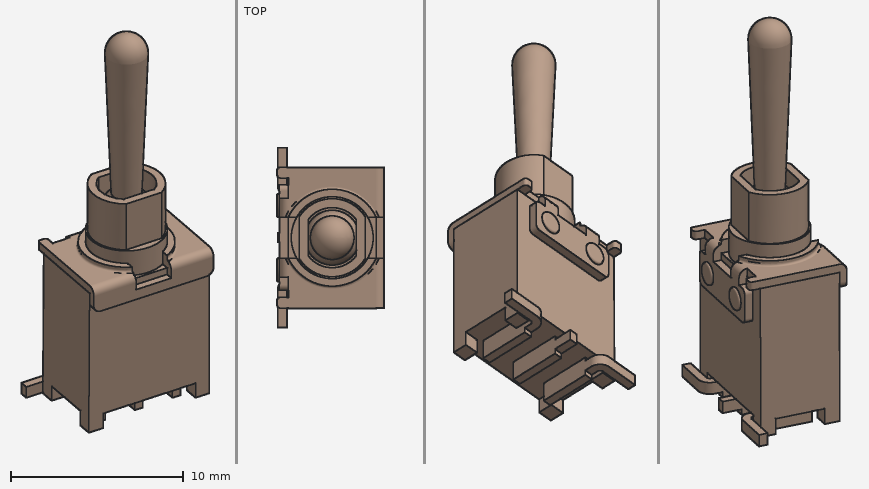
import cadquery as cq
import math

TOTAL_HEIGHT = 24.83

HOUSING_BOTTOM_Z = 1.35
FOOT_BOTTOM_Z = 0.35
HOUSING_TOP_Z = 9.85
BUSHING_TOP_Z = 14.67
COLLAR_TOP_Z = 11.55

HOUSING_HALF_WIDTH = 2.53
HOUSING_HALF_DEPTH = 4.07
HOUSING_DRAFT = 0.05
FRONT_FOOT_Y = -HOUSING_HALF_DEPTH - HOUSING_DRAFT
FOOT_LENGTH_X = 0.97
FOOT_INNER_Y = 3.13

TERMINAL_THICKNESS = 0.55
OUTER_TERMINAL_Y = 2.55
BLADE_LEFT_X = -1.94
BLADE_RIGHT_X = 1.37
ARM_TOP_Z = 1.1
ARM_LEFT_X = -3.15
ARM_SPAN_Y = 10.4
ARM_TIP_Y = ARM_SPAN_Y / 2
ARM_BEND_RADIUS = 0.75

SHEET = 0.52
PLATE_TOP_Z = HOUSING_TOP_Z + SHEET
TAB_TIP_X = -3.2
TAB_INNER_Y = 3.45
TAB_CORNER_RADIUS = 0.2
FLAP_OUTER_X = 3.0
FLAP_BOTTOM_Z = 8.75
FLAP_CORNER_RADIUS = 0.47
STRAP_OUTER_Y = 2.28
SLOT_HALF_WIDTH = 1.2
SLOT_BOTTOM_Z = 9.4
BRACKET_OUTER_X = -HOUSING_HALF_WIDTH - SHEET
BRACKET_HALF_DEPTH = 3.05
BRACKET_BOTTOM_Z = 7.23
BRACKET_CORNER_RADIUS = 0.32
BUMP_Y = 1.85
BUMP_Z = 8.37
BUMP_RADIUS = 0.7
BUMP_FILLET = 0.12
BOSS_RADIUS = 2.8
BOSS_HEIGHT = 0.32
BOSS_FOOT_FILLET = 0.15

COLLAR_RADIUS = 4.75 / 2
BUSHING_RADIUS = 2.25
BUSHING_FLAT_X = 1.9
BORE_RADIUS = 1.75
BORE_FLAT_X = 1.4

KNOB_RADIUS = 1.27
BALL_RADIUS = 1.6
BALL_CENTRE_Z = 12.75
LEVER_NECK_RADIUS = 0.85
KNOB_CENTRE_Z = TOTAL_HEIGHT - KNOB_RADIUS


def block(x_range, y_range, z_range):
    """Box between two limits along each axis."""
    lengths = [high - low for low, high in (x_range, y_range, z_range)]
    corner = (x_range[0], y_range[0], z_range[0])
    return cq.Workplane("XY").box(*lengths, centered=False).translate(corner)


def flatted_cylinder(radius, flat_x, bottom_z, top_z):
    """Vertical cylinder with a flat on its -X and +X sides."""
    cylinder = cq.Workplane("XY").workplane(offset=bottom_z).circle(radius).extrude(top_z - bottom_z)
    return cylinder.intersect(block((-flat_x, flat_x), (-radius, radius), (bottom_z, top_z)))


def ball():
    """Pivot ball at the foot of the lever."""
    return cq.Workplane("XY").sphere(BALL_RADIUS).translate((0, 0, BALL_CENTRE_Z))


def make_lever():
    """Tapered lever with a domed knob, standing on a pivot ball."""
    dome_mid = KNOB_RADIUS * math.sqrt(0.5)
    handle = (
        cq.Workplane("XZ")
        .moveTo(0, BALL_CENTRE_Z)
        .lineTo(0, TOTAL_HEIGHT)
        .threePointArc((dome_mid, KNOB_CENTRE_Z + dome_mid), (KNOB_RADIUS, KNOB_CENTRE_Z))
        .lineTo(LEVER_NECK_RADIUS, BALL_CENTRE_Z)
        .close()
        .revolve(360, (0, 0, 0), (0, 1, 0))
    )
    return handle.union(ball())


def make_bushing():
    """Flatted bushing on a round collar, bored for the lever and socketed for its ball."""
    collar = (
        cq.Workplane("XY")
        .workplane(offset=HOUSING_TOP_Z)
        .circle(COLLAR_RADIUS)
        .extrude(COLLAR_TOP_Z - HOUSING_TOP_Z)
    )
    neck = flatted_cylinder(BUSHING_RADIUS, BUSHING_FLAT_X, COLLAR_TOP_Z, BUSHING_TOP_Z)
    bore = flatted_cylinder(BORE_RADIUS, BORE_FLAT_X, BALL_CENTRE_Z, BUSHING_TOP_Z)
    return collar.union(neck).cut(bore).cut(ball())


def make_plate():
    """Top plate with a rounded tab at each end of its -X edge."""
    plate_z = (HOUSING_TOP_Z, PLATE_TOP_Z)
    plate = block((TAB_TIP_X, HOUSING_HALF_WIDTH), (-HOUSING_HALF_DEPTH, HOUSING_HALF_DEPTH), plate_z)
    notch = block((TAB_TIP_X, -HOUSING_HALF_WIDTH), (-TAB_INNER_Y, TAB_INNER_Y), plate_z)
    tab_tip_edges = cq.selectors.BoxSelector(
        (TAB_TIP_X - SHEET / 2, -HOUSING_HALF_DEPTH - SHEET, HOUSING_TOP_Z),
        (TAB_TIP_X + SHEET / 2, HOUSING_HALF_DEPTH + SHEET, PLATE_TOP_Z),
    )
    return plate.cut(notch).edges("|Z").edges(tab_tip_edges).fillet(TAB_CORNER_RADIUS)


def bent_strip(inner_x, outer_x, bottom_z, half_depth):
    """Sheet leaving the plate at inner_x and turning down, with a rounded bend, to bottom_z."""
    bend_width = outer_x - inner_x
    bend_radius = abs(bend_width)
    bend_centre_z = PLATE_TOP_Z - bend_radius
    bend_mid = (inner_x + bend_width * math.sqrt(0.5), bend_centre_z + bend_radius * math.sqrt(0.5))
    return (
        cq.Workplane("XZ")
        .moveTo(inner_x, bottom_z)
        .lineTo(inner_x, PLATE_TOP_Z)
        .threePointArc(bend_mid, (outer_x, bend_centre_z))
        .lineTo(outer_x, bottom_z)
        .close()
        .extrude(half_depth, both=True)
    )


def make_flap():
    """Lip bent down over the +X side of the housing, with rounded lower corners."""
    flap = bent_strip(HOUSING_HALF_WIDTH, FLAP_OUTER_X, FLAP_BOTTOM_Z, HOUSING_HALF_DEPTH)
    return flap.edges("<Z and |X").fillet(FLAP_CORNER_RADIUS)


def make_bracket():
    """Rounded plate on the -X side of the housing, with two round-edged bumps."""
    bracket = block(
        (BRACKET_OUTER_X, -HOUSING_HALF_WIDTH),
        (-BRACKET_HALF_DEPTH, BRACKET_HALF_DEPTH),
        (BRACKET_BOTTOM_Z, SLOT_BOTTOM_Z),
    )
    bracket = bracket.edges("|X").fillet(BRACKET_CORNER_RADIUS)
    for bump_y in (-BUMP_Y, BUMP_Y):
        bump = (
            cq.Workplane("YZ", origin=(BRACKET_OUTER_X, bump_y, BUMP_Z))
            .circle(BUMP_RADIUS)
            .extrude(TAB_TIP_X - BRACKET_OUTER_X)
            .faces("<X")
            .fillet(BUMP_FILLET)
        )
        bracket = bracket.union(bump)
    return bracket


def make_boss():
    """Round boss around the bushing, with a concave fillet where it meets the plate."""
    foot_radius = BOSS_RADIUS + BOSS_FOOT_FILLET
    fillet_top_z = PLATE_TOP_Z + BOSS_FOOT_FILLET
    fillet_mid = BOSS_FOOT_FILLET * (1 - math.sqrt(0.5))
    return (
        cq.Workplane("XZ")
        .moveTo(0, HOUSING_TOP_Z)
        .lineTo(0, PLATE_TOP_Z + BOSS_HEIGHT)
        .lineTo(BOSS_RADIUS, PLATE_TOP_Z + BOSS_HEIGHT)
        .lineTo(BOSS_RADIUS, fillet_top_z)
        .threePointArc((BOSS_RADIUS + fillet_mid, PLATE_TOP_Z + fillet_mid), (foot_radius, PLATE_TOP_Z))
        .lineTo(foot_radius, HOUSING_TOP_Z)
        .close()
        .revolve(360, (0, 0, 0), (0, 1, 0))
    )


def make_frame():
    """Sheet frame over the housing, slotted along X and pierced for the bushing collar."""
    straps = bent_strip(-HOUSING_HALF_WIDTH, BRACKET_OUTER_X, SLOT_BOTTOM_Z, STRAP_OUTER_Y)
    frame = make_plate().union(make_flap()).union(straps).union(make_bracket()).union(make_boss())
    slot_top_z = PLATE_TOP_Z + BOSS_HEIGHT
    slot = block(
        (TAB_TIP_X, FLAP_OUTER_X), (-SLOT_HALF_WIDTH, SLOT_HALF_WIDTH), (SLOT_BOTTOM_Z, slot_top_z)
    )
    collar_hole = (
        cq.Workplane("XY")
        .workplane(offset=HOUSING_TOP_Z)
        .circle(COLLAR_RADIUS)
        .extrude(slot_top_z - HOUSING_TOP_Z)
    )
    return frame.cut(slot).cut(collar_hole)


def make_blade(centre_y):
    """Terminal blade under the housing."""
    half = TERMINAL_THICKNESS / 2
    return block((BLADE_LEFT_X, BLADE_RIGHT_X), (centre_y - half, centre_y + half), (0, HOUSING_BOTTOM_Z))


def make_outer_arm():
    """Arm of the +Y terminal: runs to -X, then bends outward along +Y."""
    inner_y = OUTER_TERMINAL_Y - TERMINAL_THICKNESS / 2
    bend_inset = ARM_BEND_RADIUS * (1 - math.sqrt(0.5))
    inner_radius = ARM_BEND_RADIUS - TERMINAL_THICKNESS
    inner_inset = TERMINAL_THICKNESS + inner_radius * (1 - math.sqrt(0.5))
    return (
        cq.Workplane("XY")
        .workplane(offset=FOOT_BOTTOM_Z)
        .moveTo(BLADE_LEFT_X, inner_y)
        .lineTo(ARM_LEFT_X + ARM_BEND_RADIUS, inner_y)
        .threePointArc(
            (ARM_LEFT_X + bend_inset, inner_y + bend_inset), (ARM_LEFT_X, inner_y + ARM_BEND_RADIUS)
        )
        .lineTo(ARM_LEFT_X, ARM_TIP_Y)
        .lineTo(ARM_LEFT_X + TERMINAL_THICKNESS, ARM_TIP_Y)
        .lineTo(ARM_LEFT_X + TERMINAL_THICKNESS, inner_y + ARM_BEND_RADIUS)
        .threePointArc(
            (ARM_LEFT_X + inner_inset, inner_y + inner_inset),
            (ARM_LEFT_X + ARM_BEND_RADIUS, inner_y + TERMINAL_THICKNESS),
        )
        .lineTo(BLADE_LEFT_X, inner_y + TERMINAL_THICKNESS)
        .close()
        .extrude(ARM_TOP_Z - FOOT_BOTTOM_Z)
    )


def make_housing_body():
    """Case whose -Y side leans slightly outward towards its bottom."""
    return (
        cq.Workplane("YZ", origin=(-HOUSING_HALF_WIDTH, 0, 0))
        .moveTo(FRONT_FOOT_Y, HOUSING_BOTTOM_Z)
        .lineTo(HOUSING_HALF_DEPTH, HOUSING_BOTTOM_Z)
        .lineTo(HOUSING_HALF_DEPTH, HOUSING_TOP_Z)
        .lineTo(-HOUSING_HALF_DEPTH, HOUSING_TOP_Z)
        .close()
        .extrude(2 * HOUSING_HALF_WIDTH)
    )


def make_housing():
    """Case with four corner feet and three terminals fixed in its underside."""
    housing = make_housing_body()

    for foot_left_x in (-HOUSING_HALF_WIDTH, HOUSING_HALF_WIDTH - FOOT_LENGTH_X):
        for foot_y in ((FRONT_FOOT_Y, -FOOT_INNER_Y), (FOOT_INNER_Y, HOUSING_HALF_DEPTH)):
            foot_x = (foot_left_x, foot_left_x + FOOT_LENGTH_X)
            housing = housing.union(block(foot_x, foot_y, (FOOT_BOTTOM_Z, HOUSING_BOTTOM_Z)))

    for terminal_y in (-OUTER_TERMINAL_Y, 0, OUTER_TERMINAL_Y):
        housing = housing.union(make_blade(terminal_y))

    half = TERMINAL_THICKNESS / 2
    centre_arm = block((ARM_LEFT_X, BLADE_LEFT_X), (-half, half), (FOOT_BOTTOM_Z, ARM_TOP_Z))
    outer_arm = make_outer_arm()
    return housing.union(centre_arm).union(outer_arm).union(outer_arm.mirror("XZ"))


lever = make_lever()
bushing = make_bushing()
frame = make_frame()
housing = make_housing()

result = cq.Compound.makeCompound([lever.val(), bushing.val(), frame.val(), housing.val()])